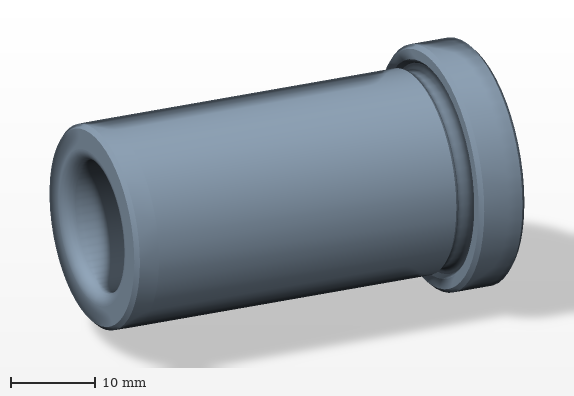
import cadquery as cq

length = 50.0
head_diameter = 30.0
head_thickness = 6.0
edge_chamfer = 0.5

body_diameter = 25.0

lead_length = 3.0
lead_end_diameter = 24.95

neck_diameter = body_diameter - 2 * edge_chamfer
neck_width = 1.5
recess_diameter = 26.5
recess_depth = 0.5
neck_fillet = 0.5

bore_diameter = 16.0
bore_mouth_radius = 1.5

free_end = -length / 2
head_end = length / 2
head_face = head_end - head_thickness
body_top = head_face - neck_width
recess_floor = head_face + recess_depth

head_radius = head_diameter / 2
body_radius = body_diameter / 2
lead_end_radius = lead_end_diameter / 2
neck_radius = neck_diameter / 2
recess_radius = recess_diameter / 2
bore_radius = bore_diameter / 2


def make_bushing():
    """Revolve the half section, in (radius, Y), about the Y axis."""
    section = (
        cq.Workplane("XY")
        .moveTo(bore_radius, free_end + bore_mouth_radius)
        .radiusArc((bore_radius + bore_mouth_radius, free_end), -bore_mouth_radius)
        .lineTo(lead_end_radius - edge_chamfer, free_end)
        .lineTo(lead_end_radius, free_end + edge_chamfer)
        .lineTo(body_radius, free_end + lead_length)
        .lineTo(body_radius, body_top - edge_chamfer)
        .lineTo(neck_radius, body_top)
        .lineTo(neck_radius, recess_floor - neck_fillet)
        .radiusArc((neck_radius + neck_fillet, recess_floor), neck_fillet)
        .lineTo(recess_radius - recess_depth, recess_floor)
        .lineTo(recess_radius, head_face)
        .lineTo(head_radius - edge_chamfer, head_face)
        .lineTo(head_radius, head_face + edge_chamfer)
        .lineTo(head_radius, head_end - edge_chamfer)
        .lineTo(head_radius - edge_chamfer, head_end)
        .lineTo(bore_radius, head_end)
        .close()
    )
    return section.revolve(360, (0, 0, 0), (0, 1, 0))


result = make_bushing()